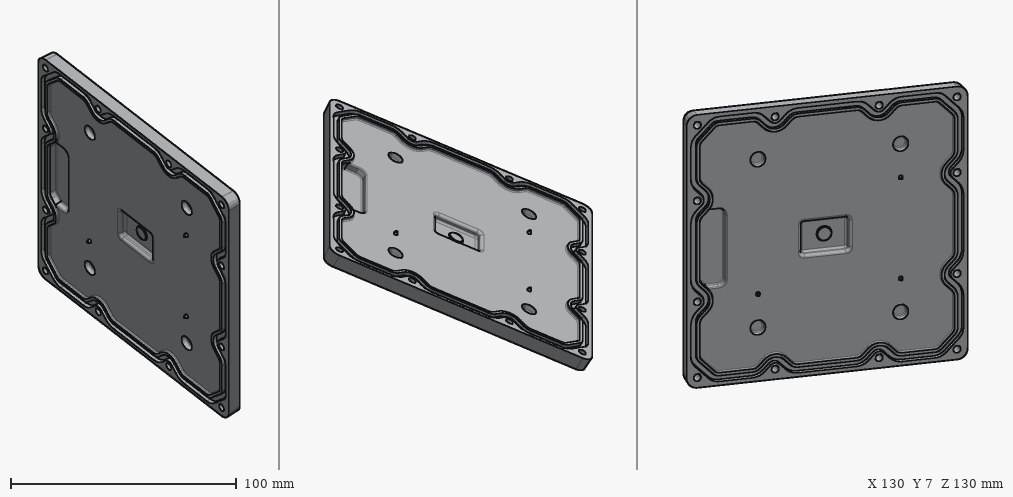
import cadquery as cq
import math

SIDE = 130.0
THICKNESS = 7.0
CORNER_RADIUS = 5.0
OUTER_DRAFT = 3.0
BACK_EDGE_RADIUS = 0.5

SCREW_RADIUS = 1.7
SCREW_INSET = 5.0
SCREW_POSITION = SIDE / 2 - SCREW_INSET
SCREW_OFFSET = 24.0

GROOVE_INSET = 2.0
GROOVE_WIDTH = 2.7
GROOVE_DEPTH = 2.0
GROOVE_LEAN = 0.3
SCREW_CLEARANCE = 3.0
BEND_RADIUS = 8.2
CORNER_BEND_RADIUS = 7.2

RIDGE_WIDTH = 1.4
RECESS_INSET = GROOVE_WIDTH + RIDGE_WIDTH
RECESS_DEPTH = 1.5
EDGE_RADIUS = 0.5

POCKET_DEPTH = 5.0
OPENING_DRAFT = 3.0

SLOT_RIGHT = -46.3
SLOT_LENGTH = 37.3
SLOT_CORNER_RADIUS = 3.5
SLOT_FLOOR_RADIUS = 0.5
SLOT_MARGIN = 0.3

POCKET_CENTER_X = -0.5
POCKET_WIDTH = 22.2
POCKET_HEIGHT = 15.7
POCKET_CORNER_RADIUS = 1.5
POCKET_RIM_RADIUS = 1.5
POCKET_FLOOR_RADIUS = 1.0
BOSS_RADIUS = 3.5
BOSS_TOP_RADIUS = 3.1
BOSS_HEIGHT = 0.5
DOME_HEIGHT = 0.3

LEFT_COLUMN = -31.6
RIGHT_COLUMN = 34.5
SOCKET_ROW = 40.0
SOCKET_RADIUS = 3.5
SOCKET_FLOOR_RADIUS = 3.1
SOCKET_DEPTH = 2.7
PIN_ROW = 24.0
PIN_BASE_RADIUS = 0.98
PIN_TIP_RADIUS = 0.5
PIN_HEIGHT = 1.3

OVERLAP = 0.1


def at_depth(depth):
    """XZ workplane at the given depth; negative extrusion goes deeper."""
    return cq.Workplane("XZ", origin=(0, depth, 0))


def toward(start, end, distance):
    """Point at a distance from start on the way to end."""
    ratio = distance / math.dist(start, end)
    return tuple(a + (b - a) * ratio for a, b in zip(start, end))


def rounded_polygon(work, corners):
    """Closed outline through (point, radius) corners, each corner rounded."""
    for i, (point, radius) in enumerate(corners):
        before = corners[i - 1][0]
        after = corners[(i + 1) % len(corners)][0]
        to_before = math.atan2(before[1] - point[1], before[0] - point[0])
        to_after = math.atan2(after[1] - point[1], after[0] - point[0])
        half_angle = abs(math.remainder(to_after - to_before, math.tau)) / 2
        reach = radius / math.tan(half_angle)
        arc_start = toward(point, before, reach)
        arc_end = toward(point, after, reach)
        bisector = toward(arc_start, arc_end, math.dist(arc_start, arc_end) / 2)
        arc_middle = toward(point, bisector, radius / math.sin(half_angle) - radius)
        work = work.moveTo(*arc_start) if i == 0 else work.lineTo(*arc_start)
        work = work.threePointArc(arc_middle, arc_end)
    return work.close()


def seal_outline(work, inset):
    """Outline parallel to the groove's outer wall, moved inward by inset."""
    half = SIDE / 2 - GROOVE_INSET - inset
    clearance = SCREW_CLEARANCE + inset
    diagonal = clearance * math.sqrt(2)
    flank = diagonal + half - SCREW_POSITION
    corner_start = 2 * SCREW_POSITION - diagonal - half
    bend = BEND_RADIUS - inset
    side = [((-corner_start, half), CORNER_BEND_RADIUS - inset)]
    for screw in (-SCREW_OFFSET, SCREW_OFFSET):
        side += [
            ((screw - flank, half), bend),
            ((screw, SCREW_POSITION - diagonal), clearance),
            ((screw + flank, half), bend),
        ]
    side.append(((corner_start, half), CORNER_BEND_RADIUS - inset))

    corners = []
    for _ in range(4):
        corners += side
        side = [((z, -x), radius) for (x, z), radius in side]
    return rounded_polygon(work, corners)


def seal_prism(depth, inset):
    """Straight body inside the seal outline, from the open face down to depth."""
    return seal_outline(at_depth(0), inset).extrude(-depth)


def make_plate():
    plate = (
        at_depth(0)
        .sketch()
        .rect(SIDE, SIDE)
        .vertices()
        .fillet(CORNER_RADIUS)
        .finalize()
        .extrude(-THICKNESS, taper=OUTER_DRAFT)
    )
    return plate.faces(">Y").edges().fillet(BACK_EDGE_RADIUS)


def make_screw_holes():
    row = (-SCREW_POSITION, -SCREW_OFFSET, SCREW_OFFSET, SCREW_POSITION)
    points = [(x, z) for x in row for z in row if SCREW_POSITION in (abs(x), abs(z))]
    return at_depth(0).pushPoints(points).circle(SCREW_RADIUS).extrude(-THICKNESS)


def make_groove():
    top = seal_outline(at_depth(0), 0).val()
    bottom = seal_outline(at_depth(GROOVE_DEPTH), GROOVE_LEAN).val()
    outer_body = cq.Workplane(cq.Solid.makeLoft([top, bottom], True))
    return outer_body.cut(seal_prism(GROOVE_DEPTH, GROOVE_WIDTH))


def make_recess():
    return seal_prism(RECESS_DEPTH, RECESS_INSET).faces(">Y").edges().fillet(EDGE_RADIUS)


def rounded_opening(center_x, width, height, corner_radius, rim_radius, floor_radius):
    """Rectangular sunk opening in the recess floor, flared at the rim and rounded at the bottom."""
    opening = (
        at_depth(0)
        .center(center_x, 0)
        .sketch()
        .rect(width, height)
        .vertices()
        .fillet(corner_radius)
        .finalize()
        .extrude(-POCKET_DEPTH, taper=OPENING_DRAFT)
        .faces(">Y")
        .edges()
        .fillet(floor_radius)
    )
    border = rim_radius + OVERLAP
    slab = (
        at_depth(0)
        .center(center_x, 0)
        .rect(width + 2 * border, height + 2 * border)
        .extrude(-RECESS_DEPTH)
    )
    reach = border / 2
    rim = cq.selectors.BoxSelector(
        (center_x - width / 2 - reach, RECESS_DEPTH - reach, -height / 2 - reach),
        (center_x + width / 2 + reach, RECESS_DEPTH + reach, height / 2 + reach),
    )
    return slab.union(opening).edges(rim).fillet(rim_radius)


def make_slot():
    width = SLOT_RIGHT + SIDE / 2
    slot = rounded_opening(
        SLOT_RIGHT - width / 2,
        width,
        SLOT_LENGTH,
        SLOT_CORNER_RADIUS,
        EDGE_RADIUS,
        SLOT_FLOOR_RADIUS,
    )
    limit = seal_prism(POCKET_DEPTH, RECESS_INSET + SLOT_MARGIN)
    return slot.intersect(limit.faces(">Y").edges().fillet(SLOT_FLOOR_RADIUS))


def make_pocket():
    return rounded_opening(
        POCKET_CENTER_X,
        POCKET_WIDTH,
        POCKET_HEIGHT,
        POCKET_CORNER_RADIUS,
        POCKET_RIM_RADIUS,
        POCKET_FLOOR_RADIUS,
    )


def make_boss():
    top = POCKET_DEPTH - BOSS_HEIGHT
    profile = (
        cq.Workplane("XY")
        .moveTo(0, POCKET_DEPTH + OVERLAP)
        .lineTo(BOSS_RADIUS, POCKET_DEPTH + OVERLAP)
        .lineTo(BOSS_RADIUS, POCKET_DEPTH)
        .lineTo(BOSS_TOP_RADIUS, top)
        .lineTo(0, top - DOME_HEIGHT)
        .close()
    )
    return profile.revolve(360, (0, 0), (0, 1))


def make_socket(x, z):
    start = cq.Vector(x, RECESS_DEPTH, z)
    inward = cq.Vector(0, 1, 0)
    socket = cq.Solid.makeCone(SOCKET_RADIUS, SOCKET_FLOOR_RADIUS, SOCKET_DEPTH, start, inward)
    return cq.Workplane(socket).faces(">Y").edges().fillet(EDGE_RADIUS)


def make_pin(x, z):
    start = cq.Vector(x, RECESS_DEPTH, z)
    outward = cq.Vector(0, -1, 0)
    return cq.Workplane(cq.Solid.makeCone(PIN_BASE_RADIUS, PIN_TIP_RADIUS, PIN_HEIGHT, start, outward))


result = make_plate()
for cutter in (make_screw_holes(), make_groove(), make_recess(), make_slot(), make_pocket()):
    result = result.cut(cutter)
result = result.union(make_boss())

for x in (LEFT_COLUMN, RIGHT_COLUMN):
    for z in (-SOCKET_ROW, SOCKET_ROW):
        result = result.cut(make_socket(x, z))

for x, z in ((LEFT_COLUMN, -PIN_ROW), (RIGHT_COLUMN, -PIN_ROW), (RIGHT_COLUMN, PIN_ROW)):
    result = result.union(make_pin(x, z))